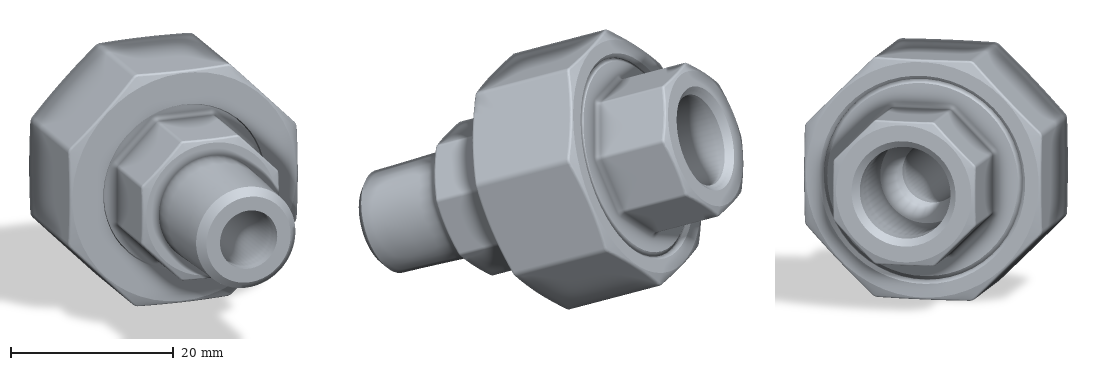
import cadquery as cq
import math


total_length = 47.0
nut_start = 9.9
nut_end = 24.55
disc_start = 10.1
collar_end = 24.35
joint = 16.9
flange_end = 21.15
tail_octagon_end = 34.0

nut_flats = 30.0
nut_corner_radius = 1.0
piece_flats = 18.0
piece_corner_radius = 0.6
root_fillet = 0.6
bevel_angle = math.radians(20.0)
nut_bevel_start = 14.7
piece_bevel_start = 8.55
bevel_fillet = 0.35

thread_diameter = 25.1
nut_mouth_diameter = 26.0
disc_face_diameter = 24.1
flange_diameter = 24.4
collar_diameter = 21.0
nut_lip_diameter = 21.3

socket_diameter = 11.45
socket_mouth_diameter = 13.15
socket_depth = 11.75
bore_diameter = 7.5
socket_cone_angle = math.radians(30.0)

spigot_land = 0.35
spigot_diameter = 13.75
spigot_taper = 1 / 16
spigot_chamfer = 1.0


CLEAR_OF_CORNERS = 0.6

SIDES = 8
TOLERANCE = 0.005


def cylinder(diameter, start, end):
    return cq.Workplane("YZ", origin=(start, 0, 0)).circle(diameter / 2).extrude(end - start)


def revolved(profile):
    """Revolve a closed (x, radius) outline about the X axis."""
    return cq.Workplane("XY").polyline(profile).close().revolve(360, (0, 0, 0), (1, 0, 0))


def octagon(flats, corner_radius, start, end):
    """Octagonal prism with rounded corners, flats facing Y and Z."""
    return (
        cq.Workplane("YZ", origin=(start, 0, 0))
        .polygon(SIDES, flats, circumscribed=True)
        .extrude(end - start)
        .edges("|X")
        .fillet(corner_radius)
    )


def bevelled(prism, flats, bevel_start, start, end, at_start=False, at_end=False):
    """Turn a cone onto the chosen ends of a prism and soften the edges left on its flats."""
    outer_radius = flats * CLEAR_OF_CORNERS
    drop = (outer_radius - bevel_start) * math.tan(bevel_angle)
    start_edge = [(start, outer_radius)]
    if at_start:
        start_edge = [(start, bevel_start), (start + drop, outer_radius)]
    end_edge = [(end, outer_radius)]
    if at_end:
        end_edge = [(end - drop, outer_radius), (end, bevel_start)]
    profile = [(start, 0), *start_edge, *end_edge, (end, 0)]
    turned = prism.intersect(revolved(profile))
    edges = [
        edge for edge in turned.edges("not(|X)").vals()
        if not lies_on_end(edge, start, end)
    ]
    return turned.newObject(edges).fillet(bevel_fillet)


def lies_on_end(edge, start, end):
    """Whether an edge lies in one of the planes x = start and x = end."""
    box = edge.BoundingBox()
    on_start = box.xmax < start + TOLERANCE
    on_end = box.xmin > end - TOLERANCE
    return on_start or on_end


def root_filleted(solid, plane_x):
    """Fillet the octagonal edge where a prism meets the round face at plane_x."""
    reach = piece_flats / 2 + TOLERANCE
    around_octagon = cq.selectors.BoxSelector(
        (plane_x - TOLERANCE, -reach, -reach),
        (plane_x + TOLERANCE, reach, reach),
        boundingbox=True,
    )
    return solid.edges(around_octagon).fillet(root_fillet)


def make_end_piece():
    prism = octagon(piece_flats, piece_corner_radius, 0, disc_start)
    body = bevelled(prism, piece_flats, piece_bevel_start, 0, disc_start, at_start=True)
    disc_chamfer = (thread_diameter - disc_face_diameter) / 2
    disc = cylinder(thread_diameter, disc_start, joint).faces("<X").chamfer(disc_chamfer)
    body = root_filleted(body.union(disc), disc_start)

    mouth_depth = (socket_mouth_diameter - socket_diameter) / 2
    cone_depth = (socket_diameter - bore_diameter) / 2 / math.tan(socket_cone_angle)
    socket = revolved([
        (0, 0),
        (0, socket_mouth_diameter / 2),
        (mouth_depth, socket_diameter / 2),
        (socket_depth, socket_diameter / 2),
        (socket_depth + cone_depth, bore_diameter / 2),
        (joint, bore_diameter / 2),
        (joint, 0),
    ])
    return body.cut(socket)


def make_tail_piece():
    prism = octagon(piece_flats, piece_corner_radius, collar_end, tail_octagon_end)
    body = bevelled(prism, piece_flats, piece_bevel_start, collar_end, tail_octagon_end, at_end=True)
    collar = cylinder(collar_diameter, flange_end, collar_end)
    body = root_filleted(body.union(collar), collar_end)
    body = body.union(cylinder(flange_diameter, joint, flange_end))

    taper_start = tail_octagon_end + spigot_land
    chamfer_start = total_length - spigot_chamfer
    small_radius = (spigot_diameter - spigot_taper * (chamfer_start - taper_start)) / 2
    spigot = revolved([
        (tail_octagon_end, 0),
        (tail_octagon_end, spigot_diameter / 2),
        (taper_start, spigot_diameter / 2),
        (chamfer_start, small_radius),
        (total_length, small_radius - spigot_chamfer),
        (total_length, 0),
    ])
    return body.union(spigot).cut(cylinder(bore_diameter, joint, total_length))


def make_nut():
    prism = octagon(nut_flats, nut_corner_radius, nut_start, nut_end)
    body = bevelled(prism, nut_flats, nut_bevel_start, nut_start, nut_end, at_start=True, at_end=True)
    thread_radius = thread_diameter / 2
    mouth_radius = nut_mouth_diameter / 2
    cavity = revolved([
        (nut_start, 0),
        (nut_start, mouth_radius),
        (nut_start + mouth_radius - thread_radius, thread_radius),
        (flange_end, thread_radius),
        (flange_end, 0),
    ])
    return body.cut(cavity).cut(cylinder(nut_lip_diameter, flange_end, nut_end))


end_piece = make_end_piece()
tail_piece = make_tail_piece()
nut = make_nut()

result = cq.Compound.makeCompound([end_piece.val(), tail_piece.val(), nut.val()])